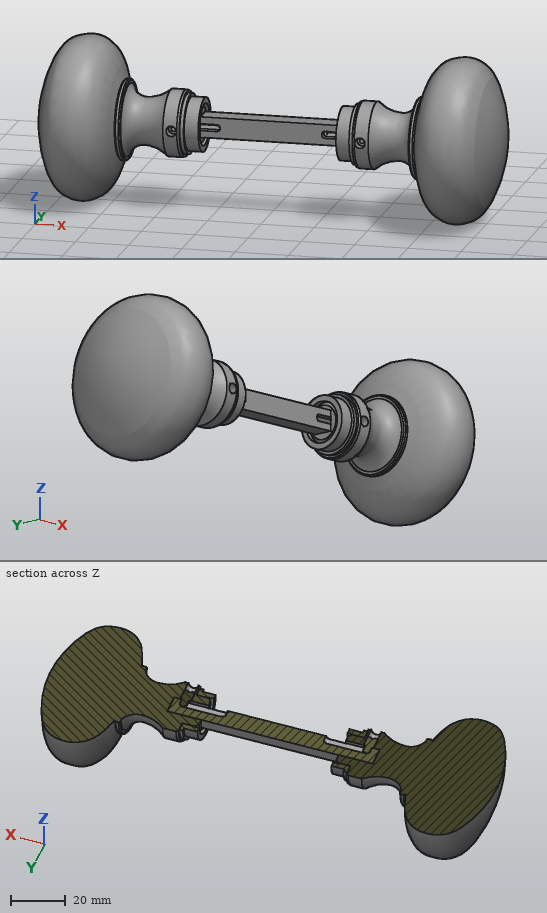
import cadquery as cq
import math


spindle_side = 7.8
spindle_half_length = 40.0
slot_width = 2.6
slot_depth = 2.8
slot_inner_end = 19.1
drill_half_angle = 59.0

head_tip = 86.8
face_edge = 81.1
face_edge_radius = 23.8
head_crown = 70.2
head_radius = 30.7
head_back = 57.8
head_back_radius = 19.8
head_tangents = [(-0.5, 1), (-1, 0), (-0.3, -1)]

ring_back = 56.3
ring_front = 54.2
ring_radius = 15.1
ring_chamfer = 0.5
neck_root_radius = 13.5
waist = 48.0
waist_radius = 8.9

band_back = 38.5
band_front = 32.5
band_radius = 12.5
band_chamfer_length = 0.9
band_chamfer_depth = 0.3
spigot_radius = 7.8
spigot_end = 26.5
spigot_chamfer = 1.4

collar_end = 25.9
flange_width = 1.4
flange_radius = 11.3
sleeve_radius = 10.0

screw_station = 35.5
screw_diameter = 3.8
screw_head_height = 8.7
socket_diameter = 1.9

spindle_face = spindle_side / 2
slot_radius = slot_width / 2
slot_tip_depth = slot_radius / math.tan(math.radians(drill_half_angle))
waist_fillet_radius = ((waist - ring_front) ** 2 + (neck_root_radius - waist_radius) ** 2) / (
    2 * (neck_root_radius - waist_radius)
)


def turned(profile):
    """Revolve a closed profile of (station, radius) about the X axis."""
    return profile.close().revolve(360, (0, 0, 0), (1, 0, 0))


def radial_pin(profile):
    """Revolve a closed profile of (radius, height) about the screw axis, pointing to -Y."""
    pin = profile.close().revolve(360, (0, 0, 0), (0, 1, 0))
    return pin.rotate((0, 0, 0), (0, 0, 1), 180).translate((screw_station, 0, 0))


def face_arc_middle():
    """Point halfway along the domed front face, an arc centred on the X axis."""
    dome = head_tip - face_edge
    arc_radius = (face_edge_radius**2 + dome**2) / (2 * dome)
    half_angle = math.asin(face_edge_radius / arc_radius) / 2
    station = head_tip - arc_radius * (1 - math.cos(half_angle))
    return (station, arc_radius * math.sin(half_angle))


def neck_arc_middle():
    """Point on the round neck fillet, which is tangent to the X direction at the waist."""
    half_angle = math.asin((ring_front - waist) / waist_fillet_radius) / 2
    return (
        waist + waist_fillet_radius * math.sin(half_angle),
        waist_radius + waist_fillet_radius * (1 - math.cos(half_angle)),
    )


def slot_cutter():
    """Slot with straight walls, rounded ends and a V floor, open on the -Y face of the spindle."""
    floor = slot_depth - spindle_face
    tool = radial_pin(
        cq.Workplane("XY")
        .moveTo(0, -floor - slot_tip_depth)
        .lineTo(slot_radius, -floor)
        .lineTo(slot_radius, spindle_side)
        .lineTo(0, spindle_side)
    )
    run = screw_station - slot_inner_end - slot_radius
    trough = (
        cq.Workplane("YZ", origin=(screw_station - run, 0, 0))
        .moveTo(floor + slot_tip_depth, 0)
        .lineTo(floor, slot_radius)
        .lineTo(-spindle_side, slot_radius)
        .lineTo(-spindle_side, -slot_radius)
        .lineTo(floor, -slot_radius)
        .close()
        .extrude(run)
    )
    return trough.union(tool).union(tool.translate((-run, 0, 0)))


def make_spindle():
    spindle = cq.Workplane("XY").box(2 * spindle_half_length, spindle_side, spindle_side)
    cutter = slot_cutter()
    return spindle.cut(cutter).cut(cutter.mirror("YZ"))


def make_knob():
    body = turned(
        cq.Workplane("XY")
        .moveTo(head_tip, 0)
        .threePointArc(face_arc_middle(), (face_edge, face_edge_radius))
        .spline(
            [(head_crown, head_radius), (head_back, head_back_radius)],
            tangents=head_tangents,
            includeCurrent=True,
        )
        .lineTo(ring_back, ring_radius - ring_chamfer)
        .lineTo(ring_back - ring_chamfer, ring_radius)
        .lineTo(ring_front + ring_chamfer, ring_radius)
        .lineTo(ring_front, ring_radius - ring_chamfer)
        .lineTo(ring_front, neck_root_radius)
        .threePointArc(neck_arc_middle(), (waist, waist_radius))
        .tangentArcPoint((band_back, band_radius), relative=False)
        .lineTo(band_front + band_chamfer_length, band_radius)
        .lineTo(band_front, band_radius - band_chamfer_depth)
        .lineTo(band_front, spigot_radius)
        .lineTo(spigot_end + spigot_chamfer, spigot_radius)
        .lineTo(spigot_end, spigot_radius - spigot_chamfer)
        .lineTo(spigot_end, 0)
    )
    spindle_bore = (
        cq.Workplane("YZ", origin=(spigot_end, 0, 0))
        .rect(spindle_side, spindle_side)
        .extrude(spindle_half_length - spigot_end)
    )
    screw_hole = (
        cq.Workplane("XZ", origin=(screw_station, 0, 0))
        .circle(screw_diameter / 2)
        .extrude(band_radius)
    )
    return body.cut(spindle_bore).cut(screw_hole)


def make_collar():
    flange_end = band_front - flange_width
    return turned(
        cq.Workplane("XY")
        .moveTo(band_front, spigot_radius)
        .lineTo(band_front, flange_radius)
        .lineTo(flange_end, flange_radius)
        .lineTo(flange_end, sleeve_radius)
        .lineTo(collar_end, sleeve_radius)
        .lineTo(collar_end, spigot_radius)
    )


def make_screw():
    """Set screw: its point fills the end of the slot and its outer end has a conical socket."""
    slot_floor = spindle_face - slot_depth
    socket_radius = socket_diameter / 2
    socket_depth = socket_radius / math.tan(math.radians(drill_half_angle))
    return radial_pin(
        cq.Workplane("XY")
        .moveTo(0, slot_floor - slot_tip_depth)
        .lineTo(slot_radius, slot_floor)
        .lineTo(slot_radius, spindle_face)
        .lineTo(screw_diameter / 2, spindle_face)
        .lineTo(screw_diameter / 2, screw_head_height)
        .lineTo(socket_radius, screw_head_height)
        .lineTo(0, screw_head_height - socket_depth)
    )


bodies = [make_spindle().val()]
for part in (make_knob(), make_collar(), make_screw()):
    bodies.append(part.val())
    bodies.append(part.mirror("YZ").val())

result = cq.Compound.makeCompound(bodies)